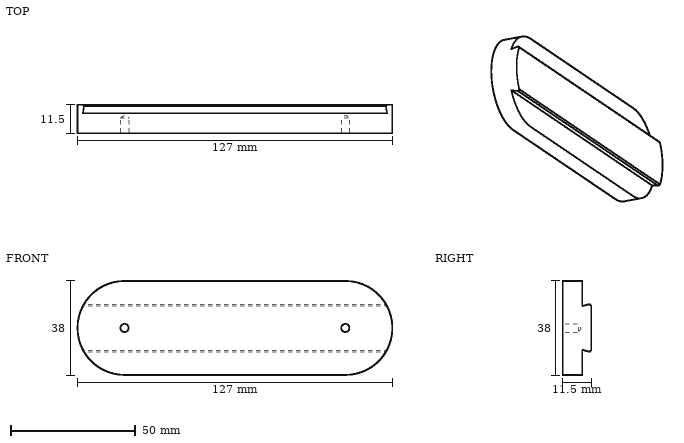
import cadquery as cq
import math

length = 127.0
height = 38.0
plate_thickness = 8.0

rail_depth = 3.5
rail_root_half = 8.9
rail_peak_half = 9.7
rail_tip_half = 9.0
rail_bevel_depth = 0.6

hole_diameter = 3.3
hole_depth = 6.4
drill_point_angle = 118.0

total_depth = plate_thickness + rail_depth
hole_spacing = length - height
front_y = -total_depth / 2
rail_root_y = front_y + plate_thickness
back_y = total_depth / 2
rail_peak_y = back_y - rail_bevel_depth


def stadium(depth):
    """Stadium-shaped slab running from the front face towards +Y."""
    return (
        cq.Workplane("XZ", origin=(0, front_y, 0))
        .slot2D(length, height)
        .extrude(-depth)
    )


def rail():
    """Undercut rail with bevelled back edges, trimmed to the round ends."""
    profile = (
        cq.Workplane("YZ")
        .moveTo(front_y, -rail_root_half)
        .lineTo(rail_root_y, -rail_root_half)
        .lineTo(rail_peak_y, -rail_peak_half)
        .lineTo(back_y, -rail_tip_half)
        .lineTo(back_y, rail_tip_half)
        .lineTo(rail_peak_y, rail_peak_half)
        .lineTo(rail_root_y, rail_root_half)
        .lineTo(front_y, rail_root_half)
        .close()
        .extrude(length / 2, both=True)
    )
    return profile.intersect(stadium(total_depth))


def blind_hole(x):
    """Drilled hole in the front face, ending in a conical drill point."""
    radius = hole_diameter / 2
    point_depth = radius / math.tan(math.radians(drill_point_angle / 2))
    return (
        cq.Workplane("XY", origin=(x, front_y, 0))
        .lineTo(radius, 0)
        .lineTo(radius, hole_depth)
        .lineTo(0, hole_depth + point_depth)
        .close()
        .revolve(360, (0, 0, 0), (0, 1, 0))
    )


result = stadium(plate_thickness).union(rail())
for side in (-1, 1):
    result = result.cut(blind_hole(side * hole_spacing / 2))